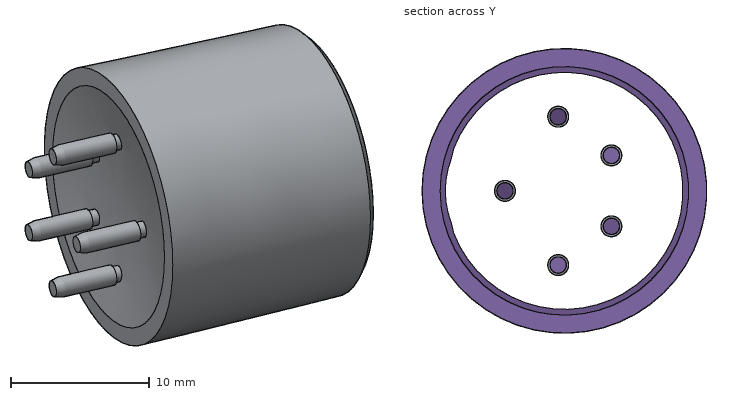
import cadquery as cq
import math

total_length = 21.35

rim_diameter = 20.57
housing_length = 16.6
draft_angle = 0.8
back_chamfer = 0.5
bore_diameter = 17.9
wall_thickness = (rim_diameter - bore_diameter) / 2

dish_depth = 0.85

pin_diameter = 1.52
end_diameter = 1.2
tip_length = 0.65
neck_recess = 0.06
pin_embedment = 2.13

pin_column_pitch = 3.85
middle_column_x = 0.45
middle_column_z = 5.35
left_column_z = 2.56
right_column_x = middle_column_x + pin_column_pitch
left_column_x = middle_column_x - pin_column_pitch
pin_places = [(right_column_x, 0)]
for side in (-1, 1):
    pin_places.append((middle_column_x, side * middle_column_z))
    pin_places.append((left_column_x, side * left_column_z))

back_y = total_length / 2
rim_y = back_y - housing_length
tip_y = -total_length / 2
floor_y = back_y - wall_thickness
neck_y = rim_y + neck_recess
pin_end_y = rim_y + pin_embedment


def revolve_about_y(profile):
    """Close a half profile in the XY plane and turn it about the Y axis."""
    return profile.close().revolve(360, (0, 0, 0), (0, 1, 0))


def make_housing():
    rim_radius = rim_diameter / 2
    bore_radius = bore_diameter / 2
    shoulder_y = back_y - back_chamfer
    shoulder_radius = rim_radius - (shoulder_y - rim_y) * math.tan(math.radians(draft_angle))
    profile = (
        cq.Workplane("XY")
        .moveTo(0, back_y)
        .lineTo(shoulder_radius - back_chamfer, back_y)
        .lineTo(shoulder_radius, shoulder_y)
        .lineTo(rim_radius, rim_y)
        .lineTo(bore_radius, rim_y)
        .lineTo(bore_radius, floor_y)
        .lineTo(0, floor_y)
    )
    return revolve_about_y(profile)


def make_pin(x, z):
    pin_radius = pin_diameter / 2
    end_radius = end_diameter / 2
    profile = (
        cq.Workplane("XY")
        .moveTo(0, tip_y)
        .lineTo(end_radius, tip_y)
        .lineTo(pin_radius, tip_y + tip_length)
        .lineTo(pin_radius, neck_y)
        .lineTo(end_radius, neck_y)
        .lineTo(end_radius, pin_end_y)
        .lineTo(0, pin_end_y)
    )
    return revolve_about_y(profile).translate((x, 0, z))


def make_potting(pins):
    bore_radius = bore_diameter / 2
    sphere_radius = (bore_radius**2 + dish_depth**2) / (2 * dish_depth)
    sphere_y = rim_y + dish_depth - sphere_radius
    half_angle = math.asin(bore_radius / sphere_radius) / 2
    mid_point = (sphere_radius * math.sin(half_angle), sphere_y + sphere_radius * math.cos(half_angle))
    profile = (
        cq.Workplane("XY")
        .moveTo(0, rim_y + dish_depth)
        .threePointArc(mid_point, (bore_radius, rim_y))
        .lineTo(bore_radius, floor_y)
        .lineTo(0, floor_y)
    )
    potting = revolve_about_y(profile)
    for pin in pins:
        potting = potting.cut(pin)
    return potting


housing = make_housing()
pins = [make_pin(x, z) for x, z in pin_places]
potting = make_potting(pins)

result = cq.Compound.makeCompound([housing.val(), potting.val(), *[pin.val() for pin in pins]])